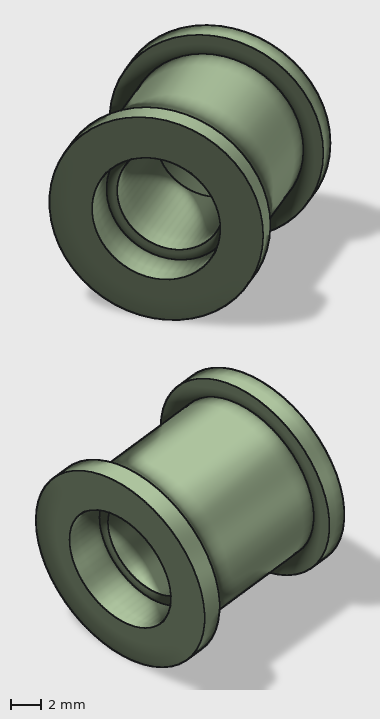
import cadquery as cq

length = 14.0
flange_diameter = 15.0
flange_thickness = 1.5
barrel_diameter = 12.2
bore_diameter = 7.5
counterbore_diameter = 9.0
counterbore_depth = 3.0

front_y = -length / 2
back_y = length / 2


def cylinder(diameter, start_y, depth):
    """Solid cylinder along +Y, starting at start_y."""
    return cq.Workplane("XZ", origin=(0, start_y, 0)).circle(diameter / 2).extrude(-depth)


body = cylinder(barrel_diameter, front_y, length)
for flange_start in (front_y, back_y - flange_thickness):
    body = body.union(cylinder(flange_diameter, flange_start, flange_thickness))

body = body.cut(cylinder(bore_diameter, front_y, length))
for counterbore_start in (front_y, back_y - counterbore_depth):
    body = body.cut(cylinder(counterbore_diameter, counterbore_start, counterbore_depth))

result = body